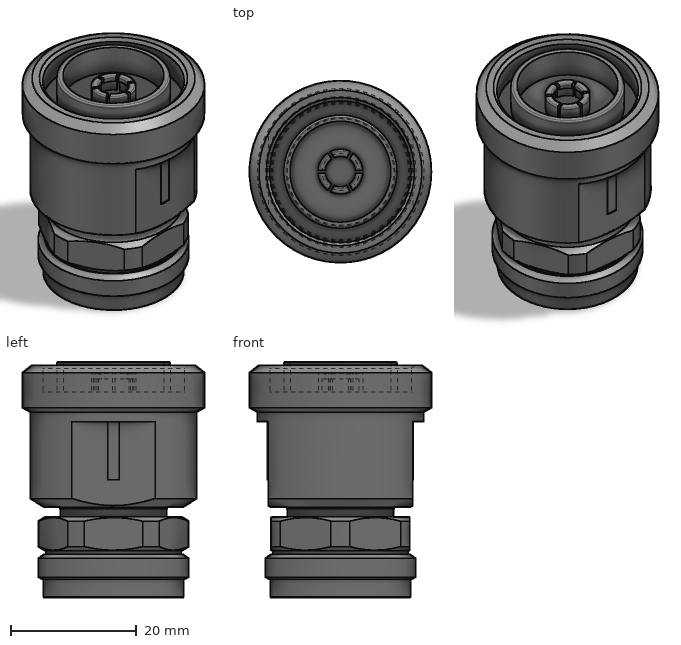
import cadquery as cq
import math

total_height = 37.5
coupling_top = 36.98
coupling_bottom = 29.5
body_bottom = 14.4
neck_shoulder_bottom = 14.15
hex_top = 12.82
hex_bottom = 7.42
collar_top = 6.9
collar_bottom = 2.92
cavity_floor = 32.75
contact_top = 35.65
undercut_top = 34.75

coupling_radius = 29.0 / 2
body_radius = 13.28
neck_radius = 8.48
neck_shoulder_radius = 8.6
groove_radius = 10.8
collar_radius = 12.0
tail_radius = 11.2
cavity_radius = 11.25
tube_outer_radius = 9.0
tube_inner_radius = 8.02
contact_outer_radius = 3.55
contact_inner_radius = 2.4
contact_undercut_radius = 2.95

coupling_top_chamfer = (1.55, 1.2)
coupling_bottom_chamfer = (1.25, 0.68)
body_chamfer = (2.15, 1.35)
collar_top_chamfer = (0.98, 0.68)
collar_bottom_chamfer = (0.65, 0.35)
tail_chamfer = 0.15
cavity_chamfer = 0.52

tube_fillet = 0.3
contact_fillet = 0.22

flat_distance = 11.5
flat_top = 27.98
rib_width = 1.8
rib_bottom = 18.7
rib_radius = 11.62

hex_sides = 6
hex_across_flats = 22.12
hex_corner_radius = 12.0
hex_chamfer = (1.12, 0.68)

finger_count = 6
slot_width = 0.45


def stage(radius, bottom, top, lower=(0, 0), upper=(0, 0)):
    """Turned stage whose lower and upper rims carry (radial, axial) chamfers."""
    lower_radial, lower_axial = lower
    upper_radial, upper_axial = upper
    rim = [
        (0, bottom),
        (radius - lower_radial, bottom),
        (radius, bottom + lower_axial),
        (radius, top - upper_axial),
        (radius - upper_radial, top),
        (0, top),
    ]
    points = [p for i, p in enumerate(rim) if i == 0 or p != rim[i - 1]]
    return cq.Workplane("XZ").polyline(points).close().revolve(360, (0, 0), (0, 1))


def slab(half_width, bottom, top):
    """Block with faces at plus and minus half_width along X, wider than the part along Y."""
    return (
        cq.Workplane("XY", origin=(0, 0, bottom))
        .rect(2 * half_width, 2 * coupling_radius)
        .extrude(top - bottom)
    )


def make_body():
    """Turned body with two spanner flats and a cylindrical-faced rib on each."""
    turned = stage(body_radius, body_bottom, coupling_bottom, lower=body_chamfer)
    flanks = slab(coupling_radius, body_bottom, flat_top).cut(slab(flat_distance, body_bottom, flat_top))
    ribs = stage(rib_radius, rib_bottom, flat_top).intersect(
        cq.Workplane("XY", origin=(0, 0, rib_bottom))
        .rect(2 * rib_radius, rib_width)
        .extrude(flat_top - rib_bottom)
    )
    return turned.cut(flanks).union(ribs)


def make_hex():
    """Hexagon with turned corners, chamfered at both ends."""
    half_sector = 180 / hex_sides
    hex_prism = (
        cq.Workplane("XY", origin=(0, 0, hex_bottom))
        .transformed(rotate=(0, 0, half_sector))
        .polygon(hex_sides, hex_across_flats / math.cos(math.radians(half_sector)))
        .extrude(hex_top - hex_bottom)
    )
    return hex_prism.intersect(stage(hex_corner_radius, hex_bottom, hex_top, hex_chamfer, hex_chamfer))


def make_coupling():
    """Coupling ring around the open connector cavity."""
    ring = stage(
        coupling_radius, coupling_bottom, coupling_top, coupling_bottom_chamfer, coupling_top_chamfer
    )
    cavity = stage(cavity_radius, cavity_floor, coupling_top)
    mouth = stage(
        cavity_radius + cavity_chamfer,
        coupling_top - cavity_chamfer,
        coupling_top,
        lower=(cavity_chamfer, cavity_chamfer),
    )
    return ring.cut(cavity).cut(mouth)


def make_tube():
    """Outer conductor tube standing on the cavity floor."""
    tube = stage(tube_outer_radius, cavity_floor, total_height)
    tube = tube.faces(">Z").edges().fillet(tube_fillet)
    return tube.cut(stage(tube_inner_radius, cavity_floor, total_height))


def make_contact():
    """Slotted spring contact with a wider bore below its mouth."""
    contact = stage(contact_outer_radius, cavity_floor, contact_top)
    contact = contact.cut(stage(contact_inner_radius, cavity_floor, contact_top))
    contact = contact.cut(stage(contact_undercut_radius, cavity_floor, undercut_top))
    contact = contact.faces(">Z").edges().fillet(contact_fillet)
    slot = (
        cq.Workplane("XY", origin=(0, 0, cavity_floor))
        .rect(2 * contact_outer_radius, slot_width)
        .extrude(contact_top - cavity_floor)
    )
    for index in range(finger_count // 2):
        contact = contact.cut(slot.rotate((0, 0, 0), (0, 0, 1), index * 360 / finger_count))
    return contact


tail = stage(tail_radius, 0, collar_bottom, lower=(tail_chamfer, tail_chamfer))
collar = stage(collar_radius, collar_bottom, collar_top, collar_bottom_chamfer, collar_top_chamfer)
groove = stage(groove_radius, collar_top, hex_bottom)
neck = stage(neck_radius, hex_top, neck_shoulder_bottom)
neck_shoulder = stage(neck_shoulder_radius, neck_shoulder_bottom, body_bottom)

result = tail
for section in (
    collar,
    groove,
    make_hex(),
    neck,
    neck_shoulder,
    make_body(),
    make_coupling(),
    make_tube(),
    make_contact(),
):
    result = result.union(section)